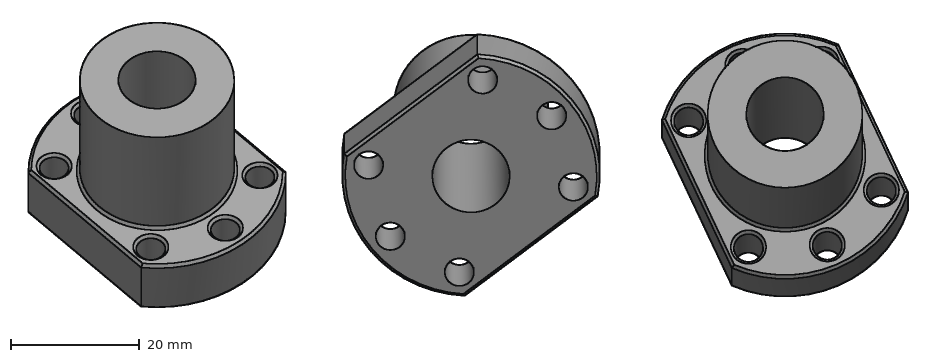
import cadquery as cq

flange_diameter = 40.0
flange_width = 30.0
flange_height = 10.0

total_height = 31.0
barrel_diameter = 24.0
bore_diameter = 12.0

hole_circle_diameter = 32.0
hole_diameter = 4.5
hole_angles = (-45, 0, 45, 135, 180, 225)

edge_break = 0.5


def make_flange():
    """Round flange with two parallel flats, chamfered on both faces."""
    disc = cq.Workplane("XY").circle(flange_diameter / 2).extrude(flange_height)
    flats = cq.Workplane("XY").rect(flange_diameter, flange_width).extrude(flange_height)
    return disc.intersect(flats).faces("<Z or >Z").edges().chamfer(edge_break)


def make_barrel():
    """Cylinder rising through the flange, with a small cone at its root."""
    radius = barrel_diameter / 2
    return (
        cq.Workplane("XZ")
        .lineTo(radius + edge_break, 0)
        .lineTo(radius + edge_break, flange_height)
        .lineTo(radius, flange_height + edge_break)
        .lineTo(radius, total_height)
        .lineTo(0, total_height)
        .close()
        .revolve(360, (0, 0), (0, 1))
    )


def make_mounting_hole():
    """Cutter for a through hole with a chamfered mouth at the flange top."""
    radius = hole_diameter / 2
    return (
        cq.Workplane("XZ")
        .lineTo(radius, 0)
        .lineTo(radius, flange_height - edge_break)
        .lineTo(radius + edge_break, flange_height)
        .lineTo(0, flange_height)
        .close()
        .revolve(360, (0, 0), (0, 1))
        .translate((hole_circle_diameter / 2, 0, 0))
    )


result = make_flange().union(make_barrel())
result = result.cut(cq.Workplane("XY").circle(bore_diameter / 2).extrude(total_height))
for angle in hole_angles:
    result = result.cut(make_mounting_hole().rotate((0, 0, 0), (0, 0, 1), angle))